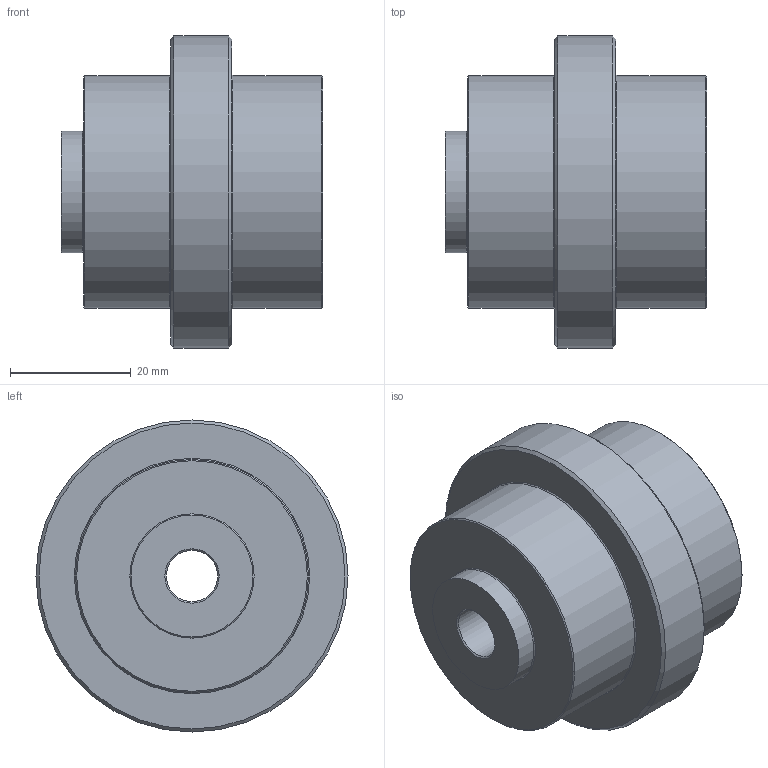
import cadquery as cq

total_length = 43.3
boss_length = 3.7
flange_start = 18.15
flange_width = 10.05
flange_end = flange_start + flange_width

bore_diameter = 8.5
boss_diameter = 20.2
body_diameter = 38.6
flange_diameter = 51.7

flange_chamfer = 0.5
body_chamfer = 0.2
bore_chamfer = 0.25
root_chamfer = 0.2


def turned_section(start, end, diameter):
    """Solid cylinder on the X axis between two axial stations."""
    return cq.Workplane("YZ", origin=(start, 0, 0)).circle(diameter / 2).extrude(end - start)


def cone(start, start_diameter, end, end_diameter):
    """Solid truncated cone on the X axis between two axial stations."""
    return (
        cq.Workplane("XY")
        .moveTo(start, 0)
        .lineTo(start, start_diameter / 2)
        .lineTo(end, end_diameter / 2)
        .lineTo(end, 0)
        .close()
        .revolve(360, (0, 0, 0), (1, 0, 0))
    )


def root_flare(shoulder, diameter, direction):
    """Small cone that strengthens the corner where a section meets a shoulder."""
    flared_diameter = diameter + 2 * root_chamfer
    return cone(shoulder + direction * root_chamfer, diameter, shoulder, flared_diameter)


boss = turned_section(0, boss_length, boss_diameter)
body = turned_section(boss_length, total_length, body_diameter).faces("<X or >X").chamfer(body_chamfer)
flange = turned_section(flange_start, flange_end, flange_diameter).faces("<X or >X").chamfer(flange_chamfer)
outside = boss.union(body).union(flange)

outside = outside.union(root_flare(boss_length, boss_diameter, -1))
outside = outside.union(root_flare(flange_start, body_diameter, -1))
outside = outside.union(root_flare(flange_end, body_diameter, 1))

bore_mouth_diameter = bore_diameter + 2 * bore_chamfer
bore = turned_section(0, total_length, bore_diameter)
front_mouth = cone(0, bore_mouth_diameter, bore_chamfer, bore_diameter)
rear_mouth = cone(total_length - bore_chamfer, bore_diameter, total_length, bore_mouth_diameter)

result = outside.cut(bore).cut(front_mouth).cut(rear_mouth)